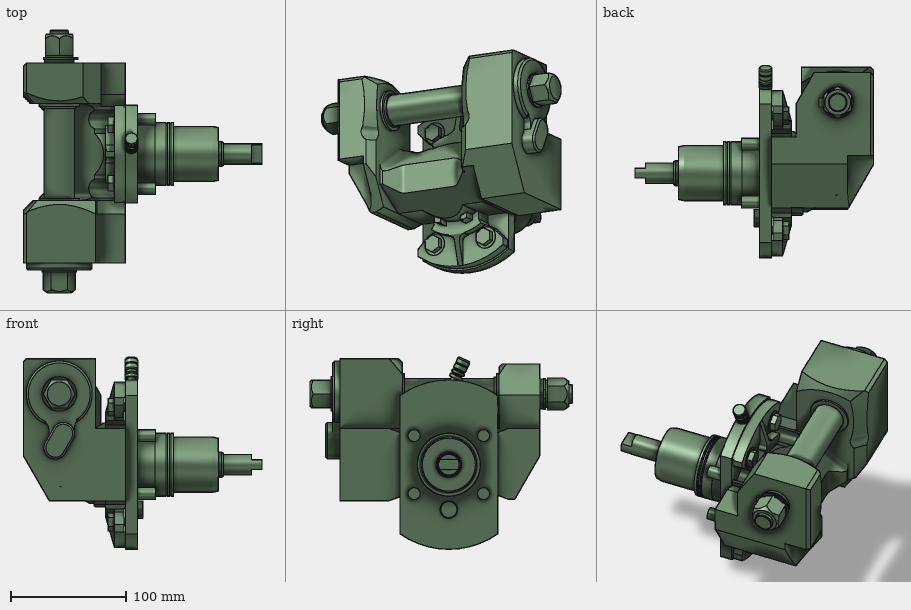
import cadquery as cq
import math


BACK_X = -88.8
TIP_X = 118.92
PIN_X, PIN_Z = -57.5, 61.5
NUT_TIP_Y = 107.65
HEAD_TIP_Y = -120.85

NEAR_Y0, NEAR_Y1 = -94.8, -40.3
FAR_Y0, FAR_Y1 = 43.7, 79.2
NEAR_TOP_Z, FAR_TOP_Z = 92.3, 87.6
NEAR_REAR_X, FAR_REAR_X = -26.0, -21.3
SHELF_Z = 31.6
BASE_Z = -31.5
BACK_LOW_Z = 7.8
EDGE_CHAMFER = 3.0
STEEP = math.tan(math.radians(60))
UNDERSIDE_SLOPE = math.tan(math.radians(30))
UPPER_SLOPE = math.tan(math.radians(31.5))
BIG = 300.0

FLANGE_R, FLANGE_T, FLANGE_HALF_Y = 73.65, 10.5, 42.6


def rod_x(radius, x0, x1, y=0.0, z=0.0):
    return cq.Workplane("YZ", origin=(x0, y, z)).circle(radius).extrude(x1 - x0)


def rod_y(radius, y0, y1, x=PIN_X, z=PIN_Z):
    return cq.Workplane("XZ", origin=(x, y0, z)).circle(radius).extrude(y0 - y1)


def block(x0, x1, y0, y1, z0, z1):
    return cq.Workplane("XY").box(x1 - x0, y1 - y0, z1 - z0, centered=False).translate((x0, y0, z0))


def prism_y(points, y0, y1):
    return cq.Workplane("XZ", origin=(0, y0, 0)).polyline(points).close().extrude(y0 - y1)


def prism_x(points, x0, x1):
    return cq.Workplane("YZ", origin=(x0, 0, 0)).polyline(points).close().extrude(x1 - x0)


def prism_z(points, z0, z1):
    return cq.Workplane("XY", origin=(0, 0, z0)).polyline(points).close().extrude(z1 - z0)


def turned_x(points):
    """Solid of revolution about X from (x, radius) points; the axis side is closed."""
    profile = [(points[0][0], 0)] + points + [(points[-1][0], 0)]
    return cq.Workplane("XY").polyline(profile).close().revolve(360, (0, 0, 0), (1, 0, 0))


def turned_pin(points):
    """Solid of revolution about the pin axis from (radius, y) points."""
    profile = [(0, points[0][1])] + points + [(0, points[-1][1])]
    turned = cq.Workplane("XY").polyline(profile).close().revolve(360, (0, 0, 0), (0, 1, 0))
    return turned.translate((PIN_X, 0, PIN_Z))


BEVEL_FOOT_X = BACK_X + (BACK_LOW_Z - BASE_Z) / STEEP
TOP_CONE_R, BACK_CONE_R = 53.0, 90.0
CONE_GROWTH = 40.0
NEAR_TOP_SETBACK, NEAR_BACK_SETBACK, NEAR_LOW_SETBACK = 3.5, 8.8, 8.7
FAR_TOP_SETBACK, FAR_BACK_SETBACK, FAR_LOW_SETBACK = 2.5, 7.7, 6.3
SCOOP_R, SCOOP_DEPTH, SCOOP_Z, SCOOP_REACH = 11.0, 2.4, 37.5, 30.0


def arched_chamfer(radius, centre_x, centre_z, inner_y, outward):
    """Cutter outside a 45 degree cone along Y whose radius at the inner face is given."""
    start_y = inner_y - outward
    wide_r = radius + CONE_GROWTH
    cone = (cq.Workplane("XY")
            .polyline([(radius - 1, start_y), (wide_r, start_y),
                       (wide_r, inner_y + outward * CONE_GROWTH)])
            .close().revolve(360, (0, 0, 0), (0, 1, 0)))
    return cone.translate((centre_x, 0, centre_z))


def inner_edge_relief(inner_y, outward, top_z, setbacks):
    """Cutter for an arm's inner edges; outward is the Y sense from inner to outer face."""
    top_setback, back_setback, low_setback = setbacks
    over = 2.0
    top = arched_chamfer(TOP_CONE_R, PIN_X, top_z - top_setback - TOP_CONE_R, inner_y, outward)
    top = top.intersect(block(-BIG, BIG, -BIG, BIG, PIN_Z, BIG))
    back = arched_chamfer(BACK_CONE_R, BACK_X + back_setback + BACK_CONE_R, PIN_Z, inner_y, outward)
    back = back.intersect(block(-BIG, PIN_X, -BIG, BIG, SCOOP_Z, BIG))

    corner = prism_z([(BACK_X - over, inner_y + outward * (low_setback + over)),
                      (BACK_X - over, inner_y - outward * over),
                      (BACK_X + low_setback + over, inner_y - outward * over)], -BIG, SCOOP_Z)

    offset = (SCOOP_R - SCOOP_DEPTH) / math.sqrt(2)
    middle = back_setback / 2
    centre = (BACK_X + middle - offset, inner_y + outward * (middle - offset), SCOOP_Z)
    along = cq.Plane(origin=centre, xDir=(0, 0, 1), normal=(1, -outward, 0))
    scoop = cq.Workplane(along).circle(SCOOP_R).extrude(SCOOP_REACH, both=True)
    return top, back, corner, scoop


SADDLE_HALF_Z = 27.2
NEAR_SLOPE_X = -24.8
NEAR_STEP_Y = -52.3
SHALLOW_START = (-80.6, -5.0)


def under_saddle_cutter(y0, y1):
    """Everything below the shallow underside of the saddle."""
    x0, z0 = SHALLOW_START
    return prism_y([(x0, z0), (x0 + BIG, z0 - BIG * UNDERSIDE_SLOPE), (x0 - BIG, z0 - BIG * UNDERSIDE_SLOPE),
                    (x0 - BIG, z0)], y0, y1)


def near_arm():
    arm = prism_y([(BACK_X, BACK_LOW_Z), (BACK_X, NEAR_TOP_Z - EDGE_CHAMFER),
                   (BACK_X + EDGE_CHAMFER, NEAR_TOP_Z), (NEAR_REAR_X, NEAR_TOP_Z),
                   (NEAR_REAR_X, SHELF_Z), (0, SHELF_Z), (0, BASE_Z),
                   (BEVEL_FOOT_X, BASE_Z)], NEAR_Y0, NEAR_Y1)
    setbacks = (NEAR_TOP_SETBACK, NEAR_BACK_SETBACK, NEAR_LOW_SETBACK)
    for cutter in inner_edge_relief(NEAR_Y1, -1, NEAR_TOP_Z, setbacks):
        arm = arm.cut(cutter)
    arm = arm.cut(under_saddle_cutter(NEAR_STEP_Y, NEAR_Y1))
    shelf_slope = [(NEAR_STEP_Y, SHELF_Z), (NEAR_Y1, SADDLE_HALF_Z), (NEAR_Y1, SHELF_Z)]
    base_slope = [(NEAR_STEP_Y, BASE_Z), (NEAR_Y1, -SADDLE_HALF_Z), (NEAR_Y1, BASE_Z)]
    arm = arm.cut(prism_x(shelf_slope, NEAR_SLOPE_X, 0))
    return arm.cut(prism_x(base_slope, BACK_X, 0))


FAR_SLOPE_Z = 60.4
FAR_NECK_Y = 51.8
FAR_BASE_Z = -30.2
VALLEY_Y, VALLEY_Z = 41.1, 27.4
POCKET_TOP_Z, POCKET_R = 15.2, 11.3
POCKET_AXIS_X, POCKET_AXIS_Y = -77.5, 64.0


def far_arm():
    slope_top_x = FAR_REAR_X - (FAR_TOP_Z - FAR_SLOPE_Z) / STEEP
    arm = prism_y([(BACK_X, BACK_LOW_Z), (BACK_X, FAR_TOP_Z - EDGE_CHAMFER),
                   (BACK_X + EDGE_CHAMFER, FAR_TOP_Z), (slope_top_x, FAR_TOP_Z),
                   (FAR_REAR_X, FAR_SLOPE_Z), (FAR_REAR_X, SHELF_Z), (0, SHELF_Z),
                   (0, FAR_BASE_Z),
                   (BACK_X + (BACK_LOW_Z - FAR_BASE_Z) / STEEP, FAR_BASE_Z)], FAR_Y0, FAR_Y1)
    setbacks = (FAR_TOP_SETBACK, FAR_BACK_SETBACK, FAR_LOW_SETBACK)
    for cutter in inner_edge_relief(FAR_Y0, 1, FAR_TOP_Z, setbacks):
        arm = arm.cut(cutter)
    outer_edge = [(BACK_X, FAR_Y1 - EDGE_CHAMFER), (BACK_X, FAR_Y1), (BACK_X + EDGE_CHAMFER, FAR_Y1)]
    arm = arm.cut(prism_z(outer_edge, -BIG / 2, BIG / 2))
    outer_bevel = [(FAR_Y1, BACK_LOW_Z), (FAR_Y1, BASE_Z),
                   (FAR_Y1 - (BACK_LOW_Z - BASE_Z) / STEEP, BASE_Z)]
    base_slope = [(FAR_NECK_Y, FAR_BASE_Z), (FAR_Y0, -SADDLE_HALF_Z), (FAR_Y0, BASE_Z)]
    arm = arm.cut(prism_x(outer_bevel, BACK_X, 0))
    arm = arm.cut(prism_x(base_slope, BACK_X, 0))
    arm = arm.cut(shelf_valley())
    return arm.cut(corner_pocket())


def shelf_valley():
    """Sloping cut from the nut-side shelf down into the edge of the saddle."""
    section = [(FAR_NECK_Y, SHELF_Z), (VALLEY_Y, VALLEY_Z), (VALLEY_Y, SHELF_Z)]
    return prism_x(section, FAR_REAR_X, 0)


def corner_pocket():
    """Rounded relief in the lower back corner of the nut-side arm."""
    z0 = BASE_Z - 1
    height = POCKET_TOP_Z - z0
    floor_x = POCKET_AXIS_X + POCKET_R
    bore = (cq.Workplane("XY", origin=(POCKET_AXIS_X, POCKET_AXIS_Y, z0))
            .circle(POCKET_R).extrude(height))
    side = block(BACK_X - 1, floor_x, POCKET_AXIS_Y, FAR_Y1 + 1, z0, POCKET_TOP_Z)
    mouth = block(BACK_X - 1, POCKET_AXIS_X, POCKET_AXIS_Y - POCKET_R, FAR_Y1 + 1, z0, POCKET_TOP_Z)
    return bore.union(side).union(mouth)


SADDLE_TOP_Z = 31.5
SADDLE_MID_Y = (NEAR_Y1 + FAR_Y0) / 2
WALL_X, WALL_TOP_Z = -62.2, 9.8
WALL_HALF_Y = 27.0
HORN_X, HORN_INSET_Y = -74.8, 2.3
FILLET_R = 6.5
WALL_CORNER_R = 7.0
HUB_TOP_R, HUB_LOW_R, HUB_HALF_Y = 36.3, 33.8, 22.0
LUG_R, LUG_X0, LUG_Y0, LUG_Y1 = 38.2, -27.4, 9.8, 16.0
SCALLOP_R, SCALLOP_Y, SCALLOP_Z, SCALLOP_END_X = 8.6, 30.0, 34.4, -25.8


def saddle():
    body = block(HORN_X, 0, NEAR_Y1, FAR_Y0, -SADDLE_HALF_Z, SADDLE_TOP_Z)
    for radius, z0, z1 in ((HUB_TOP_R, 0, BIG), (HUB_LOW_R, -BIG, 0)):
        half = block(HORN_X, 0, -HUB_HALF_Y, HUB_HALF_Y, z0, z1)
        body = body.union(rod_x(radius, HORN_X, 0).intersect(half))
    for y0 in (LUG_Y0, -LUG_Y1):
        strip = block(LUG_X0, 0, y0, y0 + LUG_Y1 - LUG_Y0, -BIG, 0)
        body = body.union(rod_x(LUG_R, LUG_X0, 0).intersect(strip))

    above = prism_y([(WALL_X - BIG, WALL_TOP_Z - BIG * UPPER_SLOPE),
                     (WALL_X + BIG, WALL_TOP_Z + BIG * UPPER_SLOPE),
                     (WALL_X - BIG, WALL_TOP_Z + BIG * UPPER_SLOPE)], NEAR_Y1, FAR_Y0)
    body = body.cut(above).cut(under_saddle_cutter(NEAR_Y1, FAR_Y0))

    body = body.union(arm_fillet(FAR_Y0, -1)).union(arm_fillet(NEAR_Y1, 1))
    body = body.cut(shelf_valley())

    recess = prism_z([(HORN_X, FAR_Y0 - HORN_INSET_Y), (WALL_X, SADDLE_MID_Y + WALL_HALF_Y),
                      (WALL_X, SADDLE_MID_Y - WALL_HALF_Y), (HORN_X, NEAR_Y1 + HORN_INSET_Y)],
                     -BIG / 2, BIG / 2)
    body = body.cut(recess.edges("|Z and >X").fillet(WALL_CORNER_R))

    for side in (-1, 1):
        y = side * SCALLOP_Y
        ball = cq.Workplane("XY").sphere(SCALLOP_R).translate((SCALLOP_END_X, y, SCALLOP_Z))
        body = body.cut(rod_x(SCALLOP_R, SCALLOP_END_X, 0, y, SCALLOP_Z).union(ball))
    return body


def arm_fillet(face_y, inward):
    """Concave fillet between the sloping top of the saddle and an arm's inner face."""
    start_z = WALL_TOP_Z + (HORN_X - WALL_X) * UPPER_SLOPE
    slope = cq.Plane(origin=(HORN_X, face_y, start_z), xDir=(0, inward, 0),
                     normal=(1, 0, UPPER_SLOPE))
    rise = inward
    bend = FILLET_R * (1 - math.sqrt(0.5))
    fillet = (cq.Workplane(slope).lineTo(FILLET_R, 0)
              .threePointArc((bend, rise * bend), (0, rise * FILLET_R))
              .close().extrude(-WALL_X))
    return fillet.intersect(block(HORN_X, 0, NEAR_Y1, FAR_Y0, -BIG, SADDLE_TOP_Z))


EAR_R, EAR_HALF_Y, EAR_T = 72.0, 42.2, 9.6
EAR_SHOULDER_Z = 52.0
NOTCH_Y, NOTCH_Z = 31.0, 41.0
BAND_R, BAND_HALF_Y, BAND_T, BAND_LOW_Z = 45.6, 24.6, 17.2, 34.4
RIB_T, RIB_FLARE = 4.8, 5.5
EAR_INNER_T = 2.0
RIB_ROOT_LAP = 2.0
GAP_T, GAP_Z0, GAP_Z1 = 1.2, 38.0, 58.5
EAR_BOLT_Y, EAR_BOLT_Z = 25.3, 49.9
EAR_BOLT_AF, EAR_BOLT_HEAD, EAR_SHANK_R = 13.4, 5.4, 3.6
EAR_WASHER_R, EAR_WASHER_T = 9.6, 0.5


def upper_ear():
    side_z = math.sqrt(EAR_R ** 2 - EAR_HALF_Y ** 2)
    band_end_z = math.sqrt(BAND_R ** 2 - BAND_HALF_Y ** 2)
    outline = (cq.Workplane("YZ", origin=(-EAR_T, 0, 0))
               .moveTo(-HUB_HALF_Y, 0).lineTo(-HUB_HALF_Y, BAND_LOW_Z).lineTo(-BAND_HALF_Y, band_end_z)
               .lineTo(-NOTCH_Y, NOTCH_Z).lineTo(-EAR_HALF_Y, EAR_SHOULDER_Z)
               .lineTo(-EAR_HALF_Y, side_z).threePointArc((0, EAR_R), (EAR_HALF_Y, side_z))
               .lineTo(EAR_HALF_Y, EAR_SHOULDER_Z).lineTo(NOTCH_Y, NOTCH_Z)
               .lineTo(BAND_HALF_Y, band_end_z).lineTo(HUB_HALF_Y, BAND_LOW_Z).lineTo(HUB_HALF_Y, 0).close())
    ear = outline.extrude(EAR_T)

    band = (cq.Workplane("YZ", origin=(-BAND_T, 0, 0))
            .moveTo(-HUB_HALF_Y, 0).lineTo(-HUB_HALF_Y, BAND_LOW_Z).lineTo(-BAND_HALF_Y, band_end_z)
            .threePointArc((0, BAND_R), (BAND_HALF_Y, band_end_z))
            .lineTo(HUB_HALF_Y, BAND_LOW_Z).lineTo(HUB_HALF_Y, 0).close().extrude(BAND_T - EAR_INNER_T))
    ear = ear.union(band).union(ear_rib())

    ear = ear.cut(block(-GAP_T, 0, -BIG, BIG, GAP_Z0, GAP_Z1))
    for y in (-EAR_BOLT_Y, EAR_BOLT_Y):
        ear = ear.union(ear_bolt(y))
    return ear


def ear_rib():
    """Tapering rib from the band to the rim, flared where it meets the band."""
    half = RIB_T / 2
    foot_z = BAND_R - RIB_ROOT_LAP
    flare_z = BAND_R + RIB_FLARE
    rim_z = math.sqrt(EAR_R ** 2 - half ** 2)
    bend = RIB_FLARE * (1 - math.sqrt(0.5))
    plan = (cq.Workplane("YZ", origin=(-BAND_T, 0, 0))
            .moveTo(-half, rim_z).lineTo(-half, flare_z)
            .threePointArc((-half - bend, BAND_R + bend), (-half - RIB_FLARE, BAND_R))
            .lineTo(-half - RIB_FLARE, foot_z).lineTo(half + RIB_FLARE, foot_z)
            .lineTo(half + RIB_FLARE, BAND_R)
            .threePointArc((half + bend, BAND_R + bend), (half, flare_z))
            .lineTo(half, rim_z).close().extrude(BAND_T - EAR_INNER_T))
    slope = prism_y([(-BAND_T, foot_z), (-BAND_T, BAND_R), (-EAR_T, rim_z), (-EAR_INNER_T, rim_z),
                     (-EAR_INNER_T, foot_z)], -BIG / 2, BIG / 2)
    return plan.intersect(slope)


def ear_bolt(y):
    washer = rod_x(EAR_WASHER_R, -EAR_T - EAR_WASHER_T, -EAR_T, y, EAR_BOLT_Z)
    head = (cq.Workplane("YZ", origin=(-EAR_T - EAR_BOLT_HEAD, y, EAR_BOLT_Z))
            .polygon(6, EAR_BOLT_AF / math.cos(math.pi / 6)).extrude(EAR_BOLT_HEAD)
            .rotate((0, y, EAR_BOLT_Z), (1, y, EAR_BOLT_Z), 30))
    shank = rod_x(EAR_SHANK_R, -EAR_T, 0, y, EAR_BOLT_Z)
    return washer.union(head).union(shank)


STUD_Y, STUD_Z, STUD_R, STUD_END_X = 30.2, 25.2, 5.2, 26.3
PLUG_Z, PLUG_R, PLUG_END_X, PLUG_CHAMFER = -39.0, 7.6, 15.4, 0.6


def flange():
    sides = block(-1, FLANGE_T + 1, -FLANGE_HALF_Y, FLANGE_HALF_Y, -BIG, BIG)
    plate = rod_x(FLANGE_R, 0, FLANGE_T).intersect(sides)
    for y in (-STUD_Y, STUD_Y):
        for z in (-STUD_Z, STUD_Z):
            plate = plate.union(rod_x(STUD_R, FLANGE_T, STUD_END_X, y, z))
    plug = rod_x(PLUG_R, FLANGE_T, PLUG_END_X, 0, PLUG_Z).faces(">X").chamfer(PLUG_CHAMFER)
    return plate.union(plug)


SEAT_R, SEAT_END_X = 27.2, 25.6
COLLAR_R, COLLAR_END_X = 27.5, 42.0
COLLAR_GROOVES_X = (35.2, 38.3)
GROOVE_W, GROOVE_D = 1.4, 0.8
BARREL_R, BARREL_END_X = 24.1, 80.9
BARREL_TAPER_X, BARREL_NOSE_R = 75.9, 23.0
SEAL_R, SEAL_NOSE_R, SEAL_STEP_X, SEAL_END_X = 11.0, 10.0, 83.5, 85.2
SHAFT_R, SHAFT_END_X, TANG_HALF_Z = 9.0, 109.7, 4.3


def spindle():
    body = turned_x([(0, SEAT_R), (SEAT_END_X, SEAT_R), (SEAT_END_X, COLLAR_R),
                     (COLLAR_END_X, COLLAR_R), (COLLAR_END_X, BARREL_R), (BARREL_TAPER_X, BARREL_R),
                     (BARREL_END_X, BARREL_NOSE_R), (BARREL_END_X, SEAL_R), (SEAL_STEP_X, SEAL_R),
                     (SEAL_END_X, SEAL_NOSE_R), (SEAL_END_X, SHAFT_R), (TIP_X, SHAFT_R)])
    for x in COLLAR_GROOVES_X:
        ring = rod_x(COLLAR_R + 1, x, x + GROOVE_W).cut(rod_x(COLLAR_R - GROOVE_D, x, x + GROOVE_W))
        body = body.cut(ring)
    for z0 in (TANG_HALF_Z, -TANG_HALF_Z - SHAFT_R):
        body = body.cut(block(SHAFT_END_X, TIP_X + 1, -SHAFT_R, SHAFT_R, z0, z0 + SHAFT_R))
    return body


PIN_R, PIN_COLLAR_R = 13.45, 17.6
NEAR_COLLAR_T, FAR_COLLAR_T, SEAL_RING_T, SEAL_RING_R = 1.7, 2.3, 2.0, 14.6
HEX_AF = 24.2
HEX_AC = HEX_AF / math.cos(math.pi / 6)


def pin():
    ring_y = FAR_Y0 - FAR_COLLAR_T
    return (rod_y(PIN_R, NEAR_Y1, FAR_Y0)
            .union(rod_y(PIN_COLLAR_R, NEAR_Y1, NEAR_Y1 + NEAR_COLLAR_T))
            .union(rod_y(PIN_COLLAR_R, ring_y, FAR_Y0))
            .union(rod_y(SEAL_RING_R, ring_y - SEAL_RING_T, ring_y)))


def hexagon_y(y0, y1, turn):
    prism = cq.Workplane("XZ", origin=(PIN_X, y0, PIN_Z)).polygon(6, HEX_AC).extrude(y0 - y1)
    return prism.rotate((PIN_X, 0, PIN_Z), (PIN_X, 1, PIN_Z), turn)


SPACER_R, SPACER_END_Y, NUT_COLLAR_R = 13.0, 82.2, 12.0
NUT_WASHER_R, NUT_WASHER_END_Y = 13.6, 84.0
TONGUE_END_X, TONGUE_W = -41.1, 8.0
NUT_Y0, NUT_SHOULDER_Y, NUT_Y1, NUT_NOSE_R = 85.6, 100.1, 104.3, 11.1
THREAD_R, THREAD_CHAMFER = 8.1, 0.8


def nut_end():
    nut = hexagon_y(NUT_Y0, NUT_Y1, 30)
    envelope = turned_pin([(HEX_AC / 2, NUT_Y0), (HEX_AC / 2, NUT_SHOULDER_Y), (NUT_NOSE_R, NUT_Y1)])
    thread = rod_y(THREAD_R, NUT_Y1, NUT_TIP_Y).faces(">Y").chamfer(THREAD_CHAMFER)
    tongue = block(PIN_X, TONGUE_END_X, SPACER_END_Y, NUT_WASHER_END_Y,
                   PIN_Z - TONGUE_W / 2, PIN_Z + TONGUE_W / 2)
    return (nut.intersect(envelope).union(thread).union(tongue)
            .union(rod_y(SPACER_R, FAR_Y1, SPACER_END_Y))
            .union(rod_y(NUT_WASHER_R, SPACER_END_Y, NUT_WASHER_END_Y))
            .union(rod_y(NUT_COLLAR_R, NUT_WASHER_END_Y, NUT_Y0)))


CAP_R, CAP_END_Y, CAP_CHAMFER = 28.7, -101.0, 1.8
HEAD_WASHER_R, HEAD_Y0, HEAD_SHOULDER_Y, HEAD_NOSE_R = 15.0, -102.5, -117.8, 10.4
NECK_LEFT_X, NECK_RIGHT_X, NECK_Z, NECK_END_Z = -66.4, -44.3, 30.5, 22.6
KEY_TOP, KEY_BOTTOM = (-54.0, 27.0), (-61.0, 14.7)
KEY_R, KEY_END_Y, KEY_CHAMFER = 9.8, -107.0, 1.6


def head_end():
    cap = rod_y(CAP_R, NEAR_Y0, CAP_END_Y).faces("<Y").chamfer(CAP_CHAMFER)
    washer = rod_y(HEAD_WASHER_R, CAP_END_Y, HEAD_Y0)
    envelope = turned_pin([(HEX_AC / 2, HEAD_Y0), (HEX_AC / 2, HEAD_SHOULDER_Y),
                           (HEAD_NOSE_R, HEAD_TIP_Y)])
    head = hexagon_y(HEAD_Y0, HEAD_TIP_Y, 0).intersect(envelope)
    return cap.union(washer).union(head).union(keeper_neck()).union(keeper_key())


def keeper_neck():
    """Tail of the cap, narrowing with hollow shoulders towards the key."""
    left_start, left_bend = (-70.4, 37.0), (-67.7, 34.3)
    right_bend, right_end = (-43.5, 35.8), (-41.4, 39.2)
    return (cq.Workplane("XZ", origin=(0, NEAR_Y0, 0))
            .moveTo(*left_start)
            .threePointArc(left_bend, (NECK_LEFT_X, NECK_Z))
            .lineTo(NECK_LEFT_X, NECK_END_Z).lineTo(NECK_RIGHT_X, KEY_TOP[1])
            .lineTo(NECK_RIGHT_X, NECK_Z)
            .threePointArc(right_bend, right_end)
            .close().extrude(NEAR_Y0 - CAP_END_Y))


def keeper_key():
    dx, dz = KEY_BOTTOM[0] - KEY_TOP[0], KEY_BOTTOM[1] - KEY_TOP[1]
    centre = (KEY_TOP[0] + dx / 2, NEAR_Y0, KEY_TOP[1] + dz / 2)
    angle = math.degrees(math.atan2(dz, dx))
    return (cq.Workplane("XZ", origin=centre)
            .slot2D(math.hypot(dx, dz) + 2 * KEY_R, 2 * KEY_R, angle)
            .extrude(NEAR_Y0 - KEY_END_Y).faces("<Y").chamfer(KEY_CHAMFER))


FITTING_TILT = 25.0
FITTING_TIP_Y, FITTING_TOP_Z = 13.5, 93.78
FITTING_R, FITTING_TIP_R = 5.8, 5.1
FITTING_GROOVE_R, FITTING_WAIST_R, FITTING_STEM_R = 5.2, 4.6, 3.8
FITTING_BASE, FITTING_BASE_T, FITTING_LENGTH = 15.8, 2.7, 26.0


def grease_fitting():
    tilt = math.radians(FITTING_TILT)
    tip_z = FITTING_TOP_Z - FITTING_TIP_R * math.sin(tilt)
    steps = [(0, 0), (FITTING_TIP_R, 0), (FITTING_R, 1.5), (FITTING_R, 5.0), (FITTING_GROOVE_R, 5.6),
             (FITTING_R, 6.2), (FITTING_R, 10.0), (FITTING_WAIST_R, 11.0), (FITTING_R, 12.0),
             (FITTING_R, 14.0), (FITTING_STEM_R, 15.0), (FITTING_STEM_R, FITTING_BASE),
             (FITTING_R, FITTING_BASE), (FITTING_R, FITTING_BASE + FITTING_BASE_T),
             (FITTING_STEM_R, FITTING_BASE + FITTING_BASE_T), (FITTING_STEM_R, FITTING_LENGTH),
             (0, FITTING_LENGTH)]
    profile = [(radius, -back) for radius, back in steps]
    axis = cq.Plane(origin=(FLANGE_T / 2, FITTING_TIP_Y, tip_z), xDir=(1, 0, 0),
                    normal=(0, -math.cos(tilt), math.sin(tilt)))
    return cq.Workplane(axis).polyline(profile).close().revolve(360, (0, 0, 0), (0, 1, 0))


ear = upper_ear()
result = near_arm()
for piece in (far_arm(), saddle(), ear, ear.mirror("XY"), flange(), spindle(), pin(),
              nut_end(), head_end(), grease_fitting()):
    result = result.union(piece)